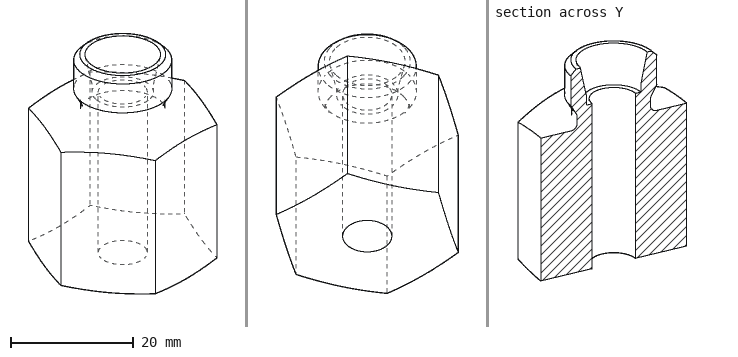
import cadquery as cq
import math

hex_across_flats = 27.0
hex_height = 26.0
corner_on_y_axis = 90.0
hex_turn = -0.184
hex_chamfer_angle = 15.0
envelope_margin = 1.0

stud_height = 11.0
stud_diameter = 16.0
stud_end_chamfer = 1.0

undercut_diameter = 13.7
undercut_width = 4.6
undercut_taper_angle = 30.0
undercut_fillet = 1.0

cone_mouth_diameter = 12.3
cone_half_angle = 12.0
socket_diameter = 10.0
socket_depth = 7.0
passage_diameter = 8.0

hex_across_corners = hex_across_flats / math.cos(math.pi / 6)
total_height = hex_height + stud_height
stud_radius = stud_diameter / 2
undercut_radius = undercut_diameter / 2
undercut_top = hex_height + undercut_width


def revolve_profile(sketch):
    """Turn a closed (radius, height) profile about the Z axis."""
    return sketch.close().revolve(360, (0, 0, 0), (0, 1, 0))


def hexagon():
    """Hexagonal prism with both ends chamfered to a circle across the flats."""
    prism = (
        cq.Workplane("XY")
        .polygon(6, hex_across_corners)
        .extrude(hex_height)
        .rotate((0, 0, 0), (0, 0, 1), corner_on_y_axis + hex_turn)
    )
    face_radius = hex_across_flats / 2
    envelope_radius = hex_across_corners / 2 + envelope_margin
    chamfer_drop = (envelope_radius - face_radius) * math.tan(math.radians(hex_chamfer_angle))
    envelope = revolve_profile(
        cq.Workplane("XZ")
        .lineTo(face_radius, 0)
        .lineTo(envelope_radius, chamfer_drop)
        .lineTo(envelope_radius, hex_height - chamfer_drop)
        .lineTo(face_radius, hex_height)
        .lineTo(0, hex_height)
    )
    return prism.intersect(envelope)


def stud():
    """Stud with chamfered end and a tapered undercut, rounded into the hexagon face."""
    taper = math.radians(undercut_taper_angle)
    neck_top = undercut_top - (stud_radius - undercut_radius) / math.tan(taper)
    tangent_length = undercut_fillet * math.tan(taper / 2)
    fillet_centre_radius = undercut_radius + undercut_fillet
    fillet_centre_height = neck_top - tangent_length
    upper_fillet_middle = (
        fillet_centre_radius - undercut_fillet * math.cos(taper / 2),
        fillet_centre_height + undercut_fillet * math.sin(taper / 2),
    )
    upper_fillet_end = (
        undercut_radius + tangent_length * math.sin(taper),
        neck_top + tangent_length * math.cos(taper),
    )
    arc_middle_offset = undercut_fillet * (1 - math.sqrt(0.5))
    lower_fillet_middle = (
        undercut_radius + arc_middle_offset,
        hex_height + arc_middle_offset,
    )
    core_base = hex_height / 2
    return revolve_profile(
        cq.Workplane("XZ")
        .moveTo(0, core_base)
        .lineTo(fillet_centre_radius, core_base)
        .lineTo(fillet_centre_radius, hex_height)
        .threePointArc(lower_fillet_middle, (undercut_radius, hex_height + undercut_fillet))
        .lineTo(undercut_radius, fillet_centre_height)
        .threePointArc(upper_fillet_middle, upper_fillet_end)
        .lineTo(stud_radius, undercut_top)
        .lineTo(stud_radius, total_height - stud_end_chamfer)
        .lineTo(stud_radius - stud_end_chamfer, total_height)
        .lineTo(0, total_height)
    )


def bore():
    """Cutter for the sealing cone, the tube socket and the through passage."""
    mouth_radius = cone_mouth_diameter / 2
    socket_radius = socket_diameter / 2
    passage_radius = passage_diameter / 2
    cone_depth = (mouth_radius - socket_radius) / math.tan(math.radians(cone_half_angle))
    return revolve_profile(
        cq.Workplane("XZ")
        .lineTo(passage_radius, 0)
        .lineTo(passage_radius, total_height - socket_depth)
        .lineTo(socket_radius, total_height - socket_depth)
        .lineTo(socket_radius, total_height - cone_depth)
        .lineTo(mouth_radius, total_height)
        .lineTo(0, total_height)
    )


result = hexagon().union(stud()).cut(bore())